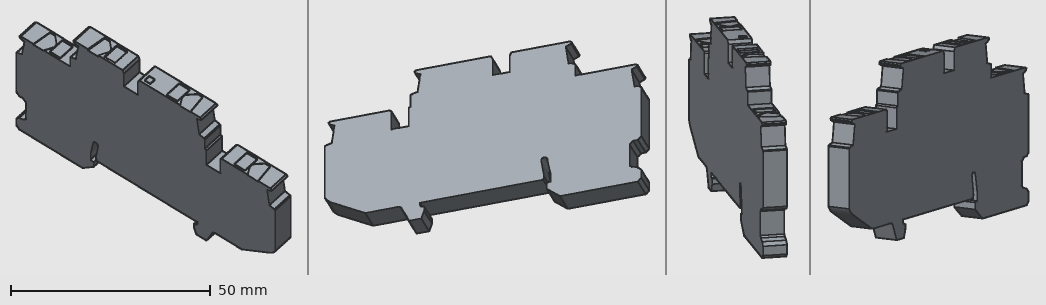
import cadquery as cq

length = 83.75
thickness = 6.2
height = 45.8

lower_top = 35.3
base_z = 5.9
edge_chamfer = 0.9

upper_left = 17.4
upper_right = 61.05

shoulder_drop = 6.95
shoulder_rise = 0.4
shoulder_bevel = 0.25
neck_base_inset = 1.85
neck_top_inset = 2.6
neck_top_drop = 1.4
lip_tip_inset = 1.0
lip_tip_drop = 0.3
lip_chin_inset = 1.2
lip_chin_drop = 0.75
lip_top_inset = 1.5

slot_width = 4.5
slot_depth = 5.8
upper_slot_left = 34.8
upper_slot_bevel = (0.4, 1.0)
lower_slot_left = 61.55
lower_slot_bevel = 0.4

recess_depth = 3.1
recess_top = 12.5
recess_bottom = 4.8
recess_bottom_bevel = 0.5
foot_edge_top = 4.3
foot_flat_end = 21.5
foot_toe_x = 25.0
foot_toe_bottom = 2.9
foot_toe_top = 4.7
foot_hook_x = 24.0
foot_hook_bottom = 4.9
foot_hook_top = 7.2

spring_left = (24.9, 11.6)
spring_crown = (25.8, 12.5)
spring_right = (26.5, 11.55)
spring_mouth = (25.7, 6.7)
spring_mouth_bevel = (0.25, 0.8)

latch_root_x = 58.5
latch_neck = (58.1, 4.7)
latch_neck_mid = (58.5, 5.2)
latch_tip_x = 57.45
latch_tip_top = 4.5
latch_tip_bottom = 3.2
latch_bottom = 1.1
latch_bottom_left = 58.2
latch_bottom_right = 61.55
latch_back = (63.4, 5.2)
latch_back_mid = (63.8, 5.7)
latch_back_end = 64.6

slope_start = 73.0
slope_end = (81.9, 10.9)
slope_round_mid = (83.0, 11.7)
slope_round_top = 12.7

pocket_shallow = 0.25
pocket_deep = 0.5
window_length = 3.4
window_width = 4.9
window_front = 0.7
lower_window_offset = 10.3
upper_left_window_offset = 10.55
upper_right_window_offset = 9.5
funnel_gap = 0.1
funnel_back = 5.8
funnel_outer_back = 4.0
funnel_outer_front = 4.8
funnel_inner_back = 2.4
funnel_inner_front = 1.4
funnel_throat_back = 3.5
funnel_throat_front = 2.5
test_hole_size = 1.85
test_hole_x = 40.8
test_hole_front = 0.9


def station_end(outer, top, inward):
    """Points from the outer shoulder up to the top face; inward is +1 at a left end, -1 at a right end."""
    shoulder = top - shoulder_drop
    return [
        (outer, shoulder - shoulder_bevel),
        (outer + inward * shoulder_bevel, shoulder),
        (outer + inward * neck_base_inset, shoulder + shoulder_rise),
        (outer + inward * neck_top_inset, top - neck_top_drop),
        (outer + inward * lip_chin_inset, top - lip_chin_drop),
        (outer + inward * lip_tip_inset, top - lip_tip_drop),
        (outer + inward * lip_top_inset, top),
    ]


def upper_slot():
    """Points of the bevelled slot in the upper tier, left to right."""
    bevel_x, bevel_z = upper_slot_bevel
    left = upper_slot_left
    right = left + slot_width
    return [
        (left - bevel_x, height),
        (left, height - bevel_z),
        (left, height - slot_depth),
        (right, height - slot_depth),
        (right, height - bevel_z),
        (right + bevel_x, height),
    ]


def lower_slot():
    """Points of the bevelled slot between the upper tier and the right station."""
    left = lower_slot_left
    right = left + slot_width
    return [
        (upper_right, lower_top),
        (left, lower_top - lower_slot_bevel),
        (left, lower_top - slot_depth),
        (right, lower_top - slot_depth),
        (right, lower_top - lower_slot_bevel),
        (right + lower_slot_bevel, lower_top),
    ]


def line_through(sketch, points):
    for x, z in points:
        sketch = sketch.lineTo(x, z)
    return sketch


def make_body():
    """Extruded side profile, drawn clockwise from the lower left corner."""
    left_side = [
        (0, foot_edge_top - edge_chamfer),
        (edge_chamfer, foot_edge_top),
        (recess_depth - recess_bottom_bevel, recess_bottom),
        (recess_depth, recess_bottom + recess_bottom_bevel),
        (recess_depth, recess_top - edge_chamfer),
        (recess_depth - edge_chamfer, recess_top),
        (edge_chamfer, recess_top),
        (0, recess_top + edge_chamfer),
    ]
    top_side = (
        station_end(0, lower_top, 1)
        + [(upper_left, lower_top)]
        + station_end(upper_left, height, 1)
        + upper_slot()
        + station_end(upper_right, height, -1)[::-1]
        + lower_slot()
        + station_end(length, lower_top, -1)[::-1]
    )
    latch = [
        (latch_bottom_right, latch_bottom),
        (latch_bottom_left, latch_bottom),
        (latch_tip_x, latch_tip_bottom),
        (latch_tip_x, latch_tip_top),
        latch_neck,
    ]
    mouth_x, mouth_z = spring_mouth
    mouth_bevel_x, mouth_bevel_z = spring_mouth_bevel
    base_to_spring_slot = [
        (mouth_x + mouth_bevel_x, mouth_z - mouth_bevel_z),
        spring_mouth,
        spring_right,
    ]
    foot = [
        (foot_hook_x, foot_hook_top),
        (foot_hook_x, foot_hook_bottom),
        (foot_toe_x, foot_toe_top),
        (foot_toe_x, foot_toe_bottom),
        (foot_flat_end, 0),
        (edge_chamfer, 0),
    ]

    outline = cq.Workplane("XZ").moveTo(0, edge_chamfer)
    outline = line_through(outline, left_side + top_side)
    outline = outline.lineTo(length, slope_round_top).threePointArc(slope_round_mid, slope_end)
    outline = outline.lineTo(slope_start, base_z).lineTo(latch_back_end, base_z)
    outline = outline.threePointArc(latch_back_mid, latch_back)
    outline = line_through(outline, latch)
    outline = outline.threePointArc(latch_neck_mid, (latch_root_x, base_z))
    outline = line_through(outline, base_to_spring_slot)
    outline = outline.threePointArc(spring_crown, spring_left)
    outline = line_through(outline, foot)
    return outline.close().extrude(-thickness)


def station_pockets(window_edge, top, inward, depth):
    """Rectangular window and the funnel leading to it, open through the front face."""
    floor = cq.Workplane("XY").workplane(offset=top - depth)
    window = floor.center(
        window_edge + inward * window_length / 2,
        window_front + window_width / 2,
    ).rect(window_length, window_width).extrude(depth)
    funnel_outline = [
        (funnel_outer_front, 0),
        (funnel_outer_back, funnel_back),
        (funnel_inner_back, funnel_back),
        (funnel_gap, funnel_throat_back),
        (funnel_gap, funnel_throat_front),
        (funnel_inner_front, 0),
    ]
    funnel_points = [(window_edge - inward * x, y) for x, y in funnel_outline]
    funnel = floor.polyline(funnel_points).close().extrude(depth)
    return window, funnel


def make_test_hole():
    return cq.Workplane("XY").box(
        test_hole_size, test_hole_size, pocket_shallow, centered=False
    ).translate((test_hole_x, test_hole_front, height - pocket_shallow))


stations = [
    (lower_window_offset, lower_top, 1, pocket_shallow),
    (upper_left + upper_left_window_offset, height, 1, pocket_deep),
    (upper_right - upper_right_window_offset, height, -1, pocket_shallow),
    (length - lower_window_offset, lower_top, -1, pocket_shallow),
]

result = make_body()
for station in stations:
    for cutter in station_pockets(*station):
        result = result.cut(cutter)
result = result.cut(make_test_hole())